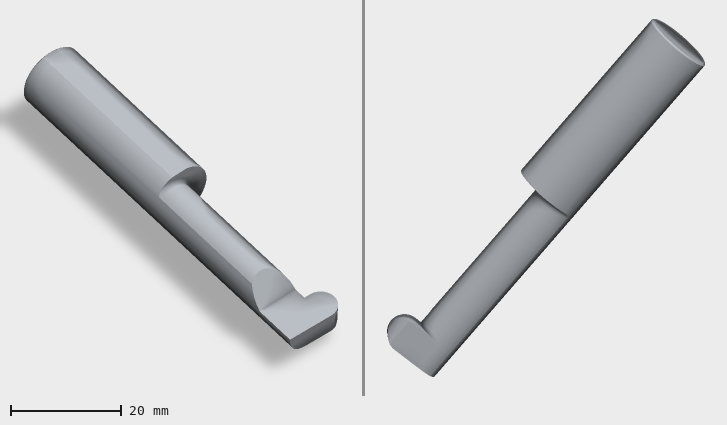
import cadquery as cq
import math

length = 76.2
shank_radius = 6.3
shank_length = 36.8
flat_height = 6.1
end_chamfer = 0.3

neck_radius = 4.5
neck_center_y = -2.5
neck_fillet = 0.7

ramp_foot_x = 67.3
nose_width = 6.3
end_relief_angle = 2.0
flank_relief_angle = 2.0

nose_radius = nose_width / 2
nose_center_x = length - nose_radius
nose_center_y = shank_radius - nose_radius
tip_back_x = length - nose_width


def bar(radius, start_x, bar_length):
    return cq.Workplane("YZ", origin=(start_x, 0, 0)).circle(radius).extrude(bar_length)


def make_shank():
    shank = bar(shank_radius, 0, shank_length).faces("<X").chamfer(end_chamfer)
    above_flat = (
        cq.Workplane("XY", origin=(0, 0, flat_height))
        .rect(2 * length, 2 * shank_radius)
        .extrude(shank_radius)
    )
    return shank.cut(above_flat)


def make_neck():
    """Revolve the neck with its root fillet; the shank's cylinder trims its -Y side."""
    fillet_mid = neck_fillet * (1 - math.sqrt(0.5))
    neck = (
        cq.Workplane("XY", origin=(0, neck_center_y, 0))
        .moveTo(shank_length, 0)
        .lineTo(shank_length, neck_radius + neck_fillet)
        .threePointArc(
            (shank_length + fillet_mid, neck_radius + fillet_mid),
            (shank_length + neck_fillet, neck_radius),
        )
        .lineTo(length, neck_radius)
        .lineTo(length, 0)
        .close()
        .revolve(360, (0, 0, 0), (1, 0, 0))
    )
    return neck


def make_tip():
    """Round-nosed tip whose flanks draw in below the rake face at mid-height."""
    return (
        cq.Workplane("XY")
        .moveTo(tip_back_x, neck_center_y)
        .lineTo(tip_back_x, nose_center_y)
        .threePointArc((nose_center_x, shank_radius), (length, nose_center_y))
        .lineTo(length, neck_center_y)
        .close()
        .extrude(-neck_radius, taper=flank_relief_angle)
    )


def make_head_clearance():
    """Space above the rake face, with a 45-degree ramp up to the neck."""
    return (
        cq.Workplane("XZ")
        .moveTo(ramp_foot_x, 0)
        .lineTo(ramp_foot_x - shank_radius, shank_radius)
        .lineTo(length, shank_radius)
        .lineTo(length, 0)
        .close()
        .extrude(shank_radius, both=True)
    )


def make_end_relief():
    """Block that slopes the end face back toward -Y and underneath the rake face."""
    size = 3 * shank_radius
    block = cq.Workplane("XY").box(size, size, 2 * size, centered=(False, False, True))
    block = block.translate((0, -size, 0))
    block = block.rotate((0, 0, 0), (0, 1, 0), flank_relief_angle)
    block = block.rotate((0, 0, 0), (0, 0, 1), -end_relief_angle)
    return block.translate((length, nose_center_y, 0))


tool_end = make_neck().union(make_tip()).intersect(bar(shank_radius, 0, length))
tool_end = tool_end.cut(make_head_clearance()).cut(make_end_relief())
result = make_shank().union(tool_end)